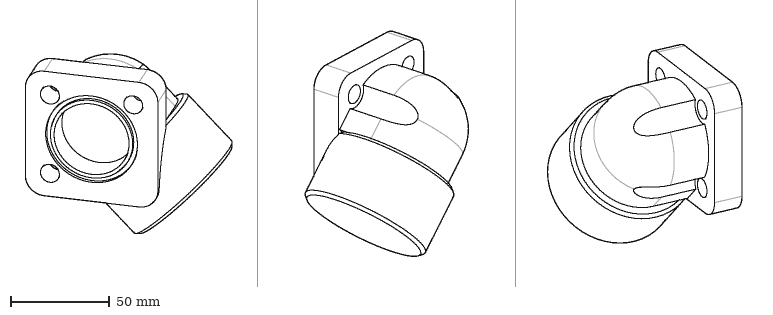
import cadquery as cq


FLANGE_SIZE = 70.0
FLANGE_THICKNESS = 16.0
FLANGE_CORNER_RADIUS = 10.0
FLANGE_FACE_Y = -36.0
FLANGE_BACK_Y = FLANGE_FACE_Y + FLANGE_THICKNESS

BOLT_OFFSET = 22.0
BOLT_HOLE_DIAMETER = 10.0
BOLT_GROOVE_RADIUS = 7.6
BOLT_POSITIONS = [
    (-BOLT_OFFSET, BOLT_OFFSET),
    (BOLT_OFFSET, BOLT_OFFSET),
    (-BOLT_OFFSET, -BOLT_OFFSET),
]

BORE_DIAMETER = 39.6
BORE_DEPTH = 14.8
SEAL_GROOVE_INNER_DIAMETER = 43.5
SEAL_GROOVE_OUTER_DIAMETER = 48.5
SEAL_GROOVE_DEPTH = 2.0

BODY_RADIUS = 28.8

OUTLET_ANGLE = 45.0
COLLAR_RADIUS = 34.2
COLLAR_START = 19.5
COLLAR_END = 56.0
COLLAR_CHAMFER = 1.8


def cylinders_along_y(diameter, y_start, length, points=((0, 0),)):
    """Cylinders along +Y from y_start, centred on the given (x, z) points."""
    return (
        cq.Workplane("XZ", origin=(0, y_start, 0))
        .pushPoints(list(points))
        .circle(diameter / 2)
        .extrude(-length)
    )


def turned_to_outlet(shape):
    """Turn a shape built along +X onto the outlet axis."""
    return shape.rotate((0, 0, 0), (0, 1, 0), OUTLET_ANGLE)


def make_flange():
    return (
        cq.Workplane("XZ", origin=(0, FLANGE_FACE_Y, 0))
        .rect(FLANGE_SIZE, FLANGE_SIZE)
        .extrude(-FLANGE_THICKNESS)
        .edges("|Y")
        .fillet(FLANGE_CORNER_RADIUS)
    )


def make_body():
    """Dome on a round barrel, with a neck that is round behind and straight-sided down to the flange."""
    domed_barrel = (
        cq.Workplane("XY")
        .moveTo(0, FLANGE_BACK_Y)
        .lineTo(BODY_RADIUS, FLANGE_BACK_Y)
        .lineTo(BODY_RADIUS, 0)
        .radiusArc((0, BODY_RADIUS), -BODY_RADIUS)
        .close()
        .revolve(360, (0, 0, 0), (0, 1, 0))
    )
    neck = (
        cq.Workplane("YZ")
        .moveTo(FLANGE_BACK_Y, -BODY_RADIUS)
        .lineTo(0, -BODY_RADIUS)
        .threePointArc((BODY_RADIUS, 0), (0, BODY_RADIUS))
        .lineTo(FLANGE_BACK_Y, BODY_RADIUS)
        .close()
        .extrude(COLLAR_START)
    )
    return domed_barrel.union(turned_to_outlet(neck))


def make_collar():
    collar = (
        cq.Workplane("YZ", origin=(COLLAR_START, 0, 0))
        .circle(COLLAR_RADIUS)
        .extrude(COLLAR_END - COLLAR_START)
        .edges("%CIRCLE")
        .chamfer(COLLAR_CHAMFER)
    )
    return turned_to_outlet(collar)


def make_bolt_grooves():
    groove_length = BODY_RADIUS - FLANGE_BACK_Y
    return cylinders_along_y(2 * BOLT_GROOVE_RADIUS, FLANGE_BACK_Y, groove_length, BOLT_POSITIONS)


def make_bolt_holes():
    return cylinders_along_y(BOLT_HOLE_DIAMETER, FLANGE_FACE_Y, FLANGE_THICKNESS, BOLT_POSITIONS)


def make_bore():
    return cylinders_along_y(BORE_DIAMETER, FLANGE_FACE_Y, BORE_DEPTH)


def make_seal_groove():
    outer = cylinders_along_y(SEAL_GROOVE_OUTER_DIAMETER, FLANGE_FACE_Y, SEAL_GROOVE_DEPTH)
    inner = cylinders_along_y(SEAL_GROOVE_INNER_DIAMETER, FLANGE_FACE_Y, SEAL_GROOVE_DEPTH)
    return outer.cut(inner)


result = (
    make_body()
    .cut(make_bolt_grooves())
    .union(make_collar())
    .union(make_flange())
    .cut(make_bolt_holes())
    .cut(make_bore())
    .cut(make_seal_groove())
)